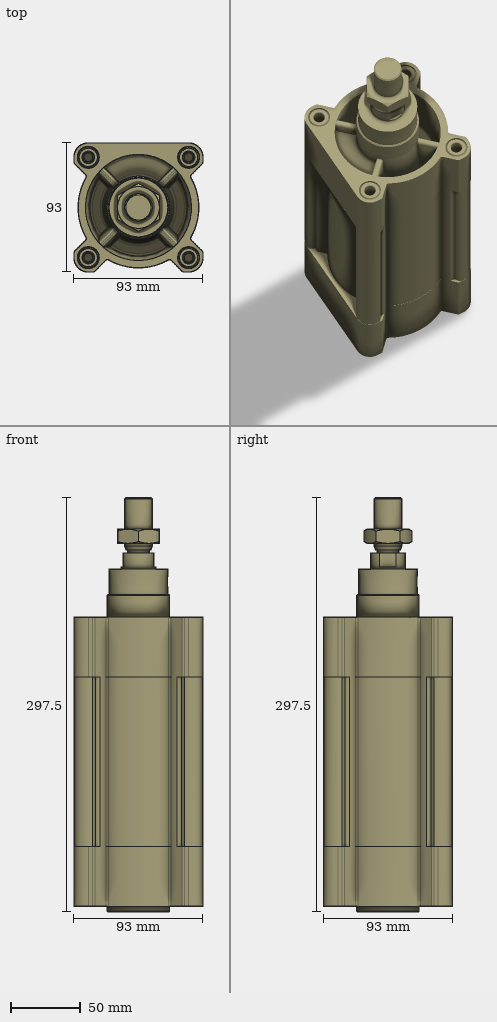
import cadquery as cq
import math

total_height = 297.5
rear_boss_height = 4.2
cap_height = 43.2
barrel_length = 121.5
rear_cap_top = rear_boss_height + cap_height
barrel_top = rear_cap_top + barrel_length
front_face = barrel_top + cap_height

body_side = 93.0
corner_radius = 10.5
cap_diameter = 87.0
ear_width = 20.5
ear_flank_shift = ear_width / math.sqrt(2)
ear_tip_fillet = 2.5
ear_root_fillet = 1.5
bolt_offset = body_side / 2 - corner_radius

barrel_inset = 0.15
barrel_diameter = cap_diameter - 2 * barrel_inset
barrel_ear_radius = corner_radius - barrel_inset
notch_inner = 27.7
notch_bottom = 31.0
notch_outer = 33.3

collar_diameter = 45.0
collar_height = 16.5
collar_chamfer = 1.0
neck_diameter = 42.5
neck_waist_diameter = 42.0
neck_top = 246.5
pocket_rim_radius = 38.0
pocket_depth = 34.2
port_pocket_depth = 8.5
pocket_fillet = 1.8
draft_angle = 5.7
rib_top_width = 4.5
rib_top_drop = 1.2
rib_top_fillet = 1.8

screw_recess_diameter = 15.8
screw_head_base_diameter = 15.0
screw_head_top_diameter = 13.0
screw_recess_depth = 1.5
screw_mouth_diameter = 9.0
screw_bore_diameter = 8.0
screw_bore_end_diameter = 6.2
screw_bore_depth = 18.0

rod_diameter = 25.0
rod_shoulder = 258.0
rod_flat_width = 22.0
rod_flat_bottom = 248.0
thread_diameter = 20.0
thread_bottom = 262.8
thread_chamfer = 1.0
runout_diameter = 18.0
undercut_diameter = 15.8
undercut_top = 260.0

nut_flats = 30.0
nut_height = 10.0
nut_bottom = 265.0
nut_chamfer_angle = 30


def diagonal_cross(height):
    """Two crossed strips along the diagonals, carrying the ears."""
    strip = cq.Workplane("XY").rect(2 * body_side, ear_width).extrude(height)
    return strip.rotate((0, 0, 0), (0, 0, 1), 45).union(strip.rotate((0, 0, 0), (0, 0, 1), -45))


def edges_at_radius(body, low, high):
    """Vertical edges whose distance from the axis lies between two radii."""
    picked = [
        edge for edge in body.edges("|Z").vals()
        if low < math.hypot(edge.Center().x, edge.Center().y) < high
    ]
    return body.newObject(picked)


def join_tube(ears, diameter, height):
    """Ears joined to a round tube, with filleted roots."""
    joined = cq.Workplane("XY").circle(diameter / 2).extrude(height).union(ears)
    return edges_at_radius(joined, diameter / 2 - 0.3, diameter / 2 + 0.3).fillet(ear_root_fillet)


def cap():
    """End cap: tube with the rounded corners of a square as ears and a flat side toward +Y."""
    square = cq.Workplane("XY").rect(body_side, body_side).extrude(cap_height)
    square = square.edges("|Z").fillet(corner_radius)
    body = join_tube(square.intersect(diagonal_cross(cap_height)), cap_diameter, cap_height)
    tip_radius = math.hypot(body_side / 2, body_side / 2 - ear_flank_shift)
    body = edges_at_radius(body, tip_radius - 0.3, tip_radius + 0.3).fillet(ear_tip_fillet)
    side_depth = corner_radius + 6
    side = (
        cq.Workplane("XY")
        .moveTo(0, (body_side - side_depth) / 2)
        .rect(2 * bolt_offset, side_depth)
        .extrude(cap_height)
    )
    return body.union(side)


def barrel():
    """Barrel: tube with round ears that carry a notch along both flanks."""
    notch_floor = notch_inner + ear_flank_shift
    core = cq.Workplane("XY").rect(2 * notch_floor, 2 * notch_floor).extrude(barrel_length)
    rounds = (
        cq.Workplane("XY")
        .rect(2 * bolt_offset, 2 * bolt_offset, forConstruction=True)
        .vertices()
        .circle(barrel_ear_radius)
        .extrude(barrel_length)
    )
    body = join_tube(core.intersect(diagonal_cross(barrel_length)), barrel_diameter, barrel_length)
    body = body.union(rounds)
    notch = (
        cq.Workplane("XY")
        .polyline([
            (notch_inner - 3, notch_floor),
            (notch_bottom, notch_floor),
            (notch_outer, body_side / 2),
            (notch_inner - 3, body_side / 2),
        ])
        .close()
        .extrude(barrel_length)
    )
    pair = notch.union(notch.mirror("YZ"))
    for quarter in range(4):
        body = body.cut(pair.rotate((0, 0, 0), (0, 0, 1), 90 * quarter))
    return body


def ring_pocket(depth, draft, start_angle, sweep):
    """Sector of an annular pocket below the front face, with rounded floor corners."""
    spread = depth * math.tan(math.radians(draft))
    floor_inner = collar_diameter / 2 + spread
    floor_outer = pocket_rim_radius - spread
    ring = (
        cq.Workplane("XZ")
        .polyline([
            (collar_diameter / 2, front_face),
            (pocket_rim_radius, front_face),
            (floor_outer, front_face - depth),
            (floor_inner, front_face - depth),
        ])
        .close()
        .revolve(sweep, (0, 0, 0), (0, 1, 0))
    )
    ring = ring.faces("<Z").edges("%CIRCLE").fillet(pocket_fillet)
    return ring.rotate((0, 0, 0), (0, 0, 1), start_angle)


def rib():
    """Radial rib with drafted flanks and rounded top edges, reaching both ways from the axis."""
    top = front_face - rib_top_drop
    bottom = front_face - pocket_depth
    top_half = rib_top_width / 2
    foot_half = top_half + (top - bottom) * math.tan(math.radians(draft_angle))
    bar = (
        cq.Workplane("XZ")
        .polyline([(-foot_half, bottom), (-top_half, top), (top_half, top), (foot_half, bottom)])
        .close()
        .extrude(pocket_rim_radius + 3, both=True)
    )
    return bar.faces(">Z").edges("|Y").fillet(rib_top_fillet)


def cut_front_pocket(front_cap):
    """Ring pocket split by four ribs; the quarter toward +Y is shallow."""
    deep = ring_pocket(pocket_depth, draft_angle, 135, 270)
    shallow = ring_pocket(port_pocket_depth, 0, 45, 90)
    ribs = [rib().rotate((0, 0, 0), (0, 0, 1), angle) for angle in (45, -45)]
    for pocket in (deep, shallow):
        for rib_pair in ribs:
            pocket = pocket.cut(rib_pair)
        front_cap = front_cap.cut(pocket)
    return front_cap


def collar():
    """Guide collar and the narrower neck around the rod."""
    lower = (
        cq.Workplane("XY")
        .workplane(offset=front_face)
        .circle(collar_diameter / 2)
        .extrude(collar_height)
        .faces(">Z")
        .chamfer(collar_chamfer)
    )
    collar_top = front_face + collar_height
    neck = (
        cq.Workplane("XZ")
        .moveTo(0, collar_top)
        .lineTo(neck_diameter / 2, collar_top)
        .threePointArc(
            (neck_waist_diameter / 2, (collar_top + neck_top) / 2),
            (neck_diameter / 2, neck_top),
        )
        .lineTo(0, neck_top)
        .close()
        .revolve(360, (0, 0, 0), (0, 1, 0))
    )
    return lower.union(neck)


def screw_cut():
    """Groove around the conical screw head together with the chamfered bore in the screw."""
    recess = (
        cq.Workplane("XZ")
        .polyline([
            (screw_head_top_diameter / 2, 0),
            (screw_recess_diameter / 2, 0),
            (screw_recess_diameter / 2, -screw_recess_depth),
            (screw_head_base_diameter / 2, -screw_recess_depth),
        ])
        .close()
        .revolve(360, (0, 0, 0), (0, 1, 0))
    )
    mouth_chamfer = (screw_mouth_diameter - screw_bore_diameter) / 2
    end_chamfer = (screw_bore_diameter - screw_bore_end_diameter) / 2
    bore = (
        cq.Workplane("XY")
        .circle(screw_bore_diameter / 2)
        .extrude(-screw_bore_depth)
        .faces("<Z")
        .chamfer(end_chamfer)
    )
    mouth = (
        cq.Workplane("XY")
        .circle(screw_mouth_diameter / 2)
        .workplane(offset=-mouth_chamfer)
        .circle(screw_bore_diameter / 2)
        .loft()
    )
    return recess.union(bore).union(mouth)


def make_housing():
    """Caps, barrel, collar and rear boss as one solid, bored for the rod."""
    rear_boss = (
        cq.Workplane("XY")
        .circle(collar_diameter / 2)
        .extrude(rear_boss_height)
        .faces("<Z")
        .chamfer(collar_chamfer)
    )
    body = rear_boss.union(cap().translate((0, 0, rear_boss_height)))
    body = body.union(barrel().translate((0, 0, rear_cap_top)))
    front_cap = cut_front_pocket(cap().translate((0, 0, barrel_top)))
    body = body.union(front_cap).union(collar())
    for x in (-bolt_offset, bolt_offset):
        for y in (-bolt_offset, bolt_offset):
            body = body.cut(screw_cut().translate((x, y, front_face)))
    rod_bore = (
        cq.Workplane("XY").workplane(offset=barrel_top).circle(rod_diameter / 2).extrude(neck_top - barrel_top)
    )
    return body.cut(rod_bore)


def make_piston_rod():
    """Stepped rod with wrench flats, an undercut and a threaded end."""
    end_radius = thread_diameter / 2 - thread_chamfer
    rod = (
        cq.Workplane("XZ")
        .polyline([
            (0, barrel_top),
            (rod_diameter / 2, barrel_top),
            (rod_diameter / 2, rod_shoulder),
            (undercut_diameter / 2, rod_shoulder),
            (undercut_diameter / 2, undercut_top),
            (runout_diameter / 2, undercut_top),
            (thread_diameter / 2, thread_bottom),
            (thread_diameter / 2, total_height - thread_chamfer),
            (end_radius, total_height),
            (0, total_height),
        ])
        .close()
        .revolve(360, (0, 0, 0), (0, 1, 0))
    )
    flat_height = rod_shoulder - rod_flat_bottom
    flats = (
        cq.Workplane("XY")
        .workplane(offset=rod_flat_bottom)
        .rect(2 * rod_diameter, 2 * rod_diameter)
        .rect(rod_flat_width, 2 * rod_diameter)
        .extrude(flat_height)
    )
    return rod.cut(flats)


def make_lock_nut():
    """Hexagonal nut with its flats toward X and conical chamfers on both faces."""
    across_corners = nut_flats / math.cos(math.radians(30))
    hexagon = (
        cq.Workplane("XY").polygon(6, across_corners).extrude(nut_height).rotate((0, 0, 0), (0, 0, 1), 30)
    )
    corner_radius_gain = (across_corners - nut_flats) / 2
    chamfer_height = corner_radius_gain * math.tan(math.radians(nut_chamfer_angle))
    envelope = (
        cq.Workplane("XZ")
        .polyline([
            (0, 0),
            (nut_flats / 2, 0),
            (across_corners / 2, chamfer_height),
            (across_corners / 2, nut_height - chamfer_height),
            (nut_flats / 2, nut_height),
            (0, nut_height),
        ])
        .close()
        .revolve(360, (0, 0, 0), (0, 1, 0))
    )
    thread = cq.Workplane("XY").circle(thread_diameter / 2).extrude(nut_height)
    return hexagon.intersect(envelope).cut(thread).translate((0, 0, nut_bottom))


housing = make_housing()
piston_rod = make_piston_rod()
lock_nut = make_lock_nut()

result = cq.Compound.makeCompound([housing.val(), piston_rod.val(), lock_nut.val()])